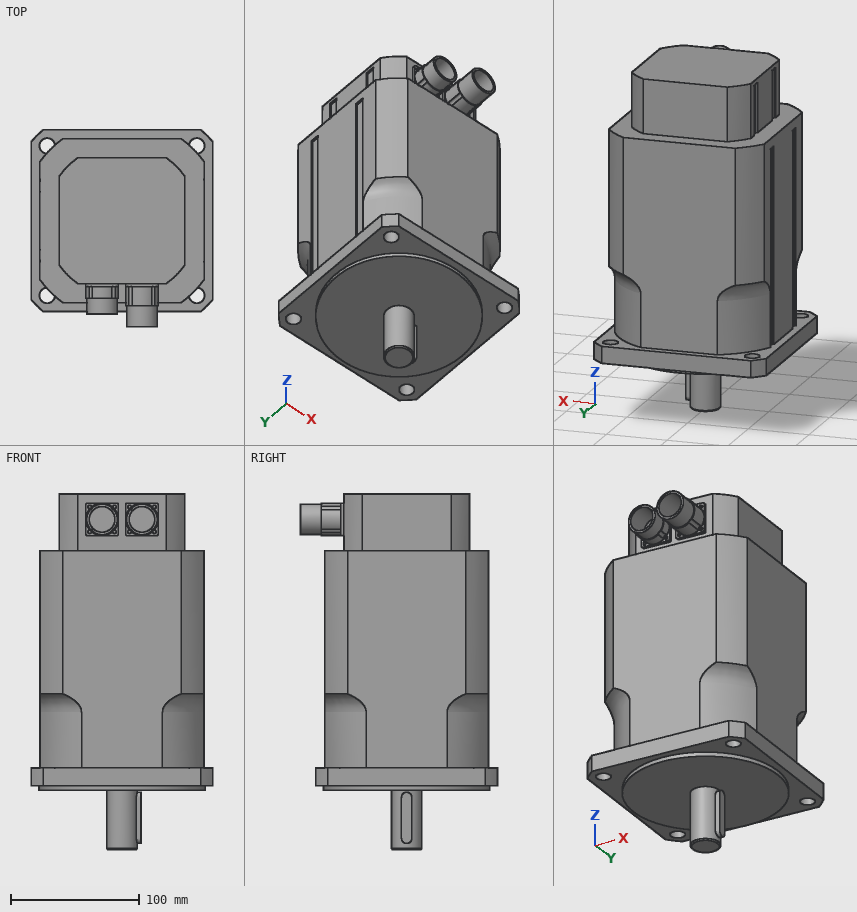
import cadquery as cq
import math

TOTAL_HEIGHT = 278.0

SHAFT_DIAMETER = 24.0
SHAFT_CHAMFER = 1.0
KEY_WIDTH = 8.0
KEY_BOTTOM_Z = 5.0
KEY_TOP_Z = 45.0
KEY_OUTER_X = 15.0

PILOT_DIAMETER = 130.0
PILOT_BOTTOM_Z = 46.5
FLANGE_BOTTOM_Z = 50.0
FLANGE_TOP_Z = 64.0
FLANGE_WIDTH = 142.0
FLANGE_CORNER_RADIUS = 94.0
MOUNT_HOLE_DIAMETER = 12.0
MOUNT_HOLE_CIRCLE_RADIUS = 82.5

BODY_WIDTH = 128.2
BODY_CORNER_RADIUS = 79.0
BODY_TOP_Z = 233.5
RELIEF_CORNER_RADIUS = 71.5
RELIEF_WALL_TOP_Z = 107.5
RELIEF_TOP_Z = 121.8

CAP_WIDTH = 98.0
CAP_CORNER_RADIUS = 60.0

GROOVE_WIDTH = 8.0
GROOVE_DEPTH = 1.5
BODY_GROOVE_OFFSET = 26.7
BODY_GROOVE_TOP_GAP = 8.3
CAP_GROOVE_OFFSET = 22.0
CAP_GROOVE_TOP_GAP = 4.0

CONNECTOR_OFFSET = 15.5
CONNECTOR_Z = 258.0
PLATE_WIDTH = 25.5
PLATE_THICKNESS = 2.5
PLATE_CORNER_FILLET = 1.7
SCREW_HOLE_DIAMETER = 2.7
SCREW_HOLE_OFFSET = 9.7
SCREW_RELIEF_RADIUS = 2.2
COLLAR_DIAMETER = 25.3
TUBE_DIAMETER = 24.0
TUBE_BORE_DIAMETER = 20.0
SHORT_COLLAR_END = 11.5
SHORT_TUBE_END = 24.0
LONG_COLLAR_END = 17.5
LONG_TUBE_END = 34.0


def cylinder(radius, bottom_z, top_z):
    return cq.Workplane("XY").workplane(offset=bottom_z).circle(radius).extrude(top_z - bottom_z)


def rounded_block(width, corner_radius, bottom_z, top_z):
    """Square block whose corners are arcs of one circle around the motor axis."""
    block = (
        cq.Workplane("XY")
        .workplane(offset=bottom_z)
        .rect(width, width)
        .extrude(top_z - bottom_z)
    )
    return block.intersect(cylinder(corner_radius, bottom_z, top_z))


def make_flange():
    flange = rounded_block(FLANGE_WIDTH, FLANGE_CORNER_RADIUS, FLANGE_BOTTOM_Z, FLANGE_TOP_Z)
    hole_spacing = MOUNT_HOLE_CIRCLE_RADIUS * math.sqrt(2)
    holes = (
        cq.Workplane("XY")
        .workplane(offset=FLANGE_BOTTOM_Z)
        .rect(hole_spacing, hole_spacing, forConstruction=True)
        .vertices()
        .circle(MOUNT_HOLE_DIAMETER / 2)
        .extrude(FLANGE_TOP_Z - FLANGE_BOTTOM_Z)
    )
    pilot = cylinder(PILOT_DIAMETER / 2, PILOT_BOTTOM_Z, FLANGE_BOTTOM_Z)
    return flange.cut(holes).union(pilot)


def make_body():
    """Square body, cut back at its lower corners with an arc that flares out to the full corners."""
    flare_width = BODY_CORNER_RADIUS - RELIEF_CORNER_RADIUS
    flare_height = RELIEF_TOP_Z - RELIEF_WALL_TOP_Z
    flare_radius = (flare_width**2 + flare_height**2) / (2 * flare_width)
    half_angle = math.asin(flare_height / flare_radius) / 2
    flare_middle = (
        RELIEF_CORNER_RADIUS + flare_radius * (1 - math.cos(half_angle)),
        RELIEF_WALL_TOP_Z + flare_radius * math.sin(half_angle),
    )
    envelope = (
        cq.Workplane("XZ")
        .moveTo(0, FLANGE_TOP_Z)
        .lineTo(RELIEF_CORNER_RADIUS, FLANGE_TOP_Z)
        .lineTo(RELIEF_CORNER_RADIUS, RELIEF_WALL_TOP_Z)
        .threePointArc(flare_middle, (BODY_CORNER_RADIUS, RELIEF_TOP_Z))
        .lineTo(BODY_CORNER_RADIUS, BODY_TOP_Z)
        .lineTo(0, BODY_TOP_Z)
        .close()
        .revolve(360, (0, 0, 0), (0, 1, 0))
    )
    block = (
        cq.Workplane("XY")
        .workplane(offset=FLANGE_TOP_Z)
        .rect(BODY_WIDTH, BODY_WIDTH)
        .extrude(BODY_TOP_Z - FLANGE_TOP_Z)
    )
    return block.intersect(envelope)


def cut_side_grooves(block, width, offset, bottom_z, top_z):
    """Cut two shallow vertical grooves into the -X side."""
    grooves = (
        cq.Workplane("XY")
        .workplane(offset=bottom_z)
        .pushPoints([(-width / 2, -offset), (-width / 2, offset)])
        .rect(2 * GROOVE_DEPTH, GROOVE_WIDTH)
        .extrude(top_z - bottom_z)
    )
    return block.cut(grooves)


def make_shaft():
    shaft = cylinder(SHAFT_DIAMETER / 2, 0, PILOT_BOTTOM_Z)
    shaft = shaft.faces("<Z").chamfer(SHAFT_CHAMFER)
    key = (
        cq.Workplane("YZ")
        .center(0, (KEY_BOTTOM_Z + KEY_TOP_Z) / 2)
        .slot2D(KEY_TOP_Z - KEY_BOTTOM_Z, KEY_WIDTH, 90)
        .extrude(KEY_OUTER_X)
    )
    return shaft.union(key)


def make_motor():
    body = cut_side_grooves(
        make_body(),
        BODY_WIDTH,
        BODY_GROOVE_OFFSET,
        FLANGE_TOP_Z,
        BODY_TOP_Z - BODY_GROOVE_TOP_GAP,
    )
    cap = cut_side_grooves(
        rounded_block(CAP_WIDTH, CAP_CORNER_RADIUS, BODY_TOP_Z, TOTAL_HEIGHT),
        CAP_WIDTH,
        CAP_GROOVE_OFFSET,
        BODY_TOP_Z,
        TOTAL_HEIGHT - CAP_GROOVE_TOP_GAP,
    )
    return make_flange().union(body).union(cap).union(make_shaft())


def make_connector(center_x, collar_end, tube_end):
    """Socket pointing to -Y: square plate, collar with screw reliefs, and an open tube."""
    cap_face = cq.Workplane("XZ", origin=(center_x, -CAP_WIDTH / 2, CONNECTOR_Z))
    plate_face = cap_face.workplane(offset=PLATE_THICKNESS)
    screw_spacing = 2 * SCREW_HOLE_OFFSET

    def at_screws(plane):
        return plane.rect(screw_spacing, screw_spacing, forConstruction=True).vertices()

    plate = cap_face.rect(PLATE_WIDTH, PLATE_WIDTH).extrude(PLATE_THICKNESS)
    plate = plate.edges("|Y").fillet(PLATE_CORNER_FILLET)
    plate = plate.cut(at_screws(cap_face).circle(SCREW_HOLE_DIAMETER / 2).extrude(PLATE_THICKNESS))

    collar_length = collar_end - PLATE_THICKNESS
    collar = plate_face.circle(COLLAR_DIAMETER / 2).extrude(collar_length)
    collar = collar.cut(at_screws(plate_face).circle(SCREW_RELIEF_RADIUS).extrude(collar_length))

    tube = (
        cap_face.workplane(offset=collar_end)
        .circle(TUBE_DIAMETER / 2)
        .extrude(tube_end - collar_end)
    )
    bore = plate_face.circle(TUBE_BORE_DIAMETER / 2).extrude(tube_end - PLATE_THICKNESS)
    return plate.union(collar).union(tube).cut(bore)


motor = make_motor()

connectors = []
for side, collar_end, tube_end in [
    (-1, SHORT_COLLAR_END, SHORT_TUBE_END),
    (1, LONG_COLLAR_END, LONG_TUBE_END),
]:
    connectors.append(make_connector(side * CONNECTOR_OFFSET, collar_end, tube_end))

result = cq.Compound.makeCompound([motor.val(), *[connector.val() for connector in connectors]])